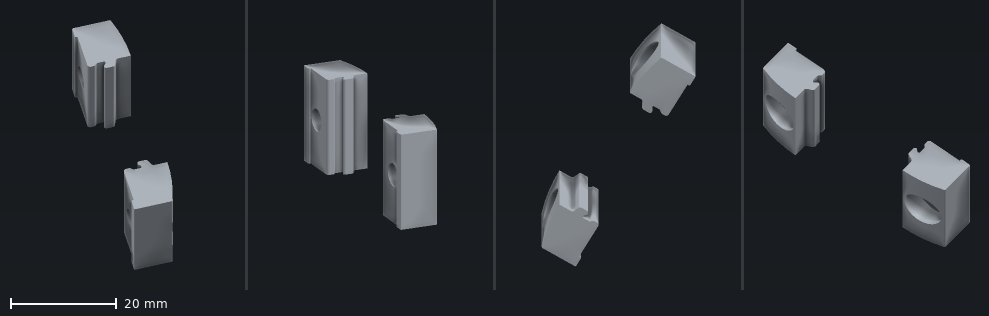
import cadquery as cq

overall_length = 44.4
block_depth = 9.0
block_height = 19.0

inner_wall_x = 9.15
outer_wall_y = 7.5
foot_width = 2.18
foot_height = 0.5
edge_radius = 0.18
step_radius = 0.15
foot_inner_radius = 0.2
crown_edge_radius = 0.25

hook_x = 10.75
hook_root_y = 6.1
hook_shoulder_y = 5.4
hook_root_radius = 0.65
hook_shoulder_radius = 0.55
hook_tip_y = 2.85
hook_tip_radius = 0.45
notch_radius = 0.3

bead_x = 9.7
bead_root_y = 2.35
bead_shoulder_y = 1.8
bead_root_radius = 0.45
bead_shoulder_radius = 0.5
bead_bottom_radius = 0.58

hole_x = 4.7
hole_diameter = 4.5
counterbore_diameter = 8.0
counterbore_depth = 4.0

crown_drop = block_depth - outer_wall_y
crown_radius = (inner_wall_x**2 + crown_drop**2) / (2 * crown_drop)
crown_mid_x = inner_wall_x / 2
crown_mid_y = block_depth - crown_radius + (crown_radius**2 - crown_mid_x**2) ** 0.5

notch_y = hook_tip_y + hook_x - inner_wall_x

ROUNDED_CORNERS = [
    (inner_wall_x, hook_root_y, hook_root_radius),
    (hook_x, hook_shoulder_y, hook_shoulder_radius),
    (hook_x, hook_tip_y, hook_tip_radius),
    (inner_wall_x, notch_y, notch_radius),
    (inner_wall_x, bead_root_y, bead_root_radius),
    (bead_x, bead_shoulder_y, bead_shoulder_radius),
    (bead_x, foot_height, bead_bottom_radius),
    (foot_width, foot_height, step_radius),
    (foot_width, 0, foot_inner_radius),
    (0, 0, edge_radius),
    (0, outer_wall_y, crown_edge_radius),
]


def block_body():
    """Extrude the outline along Z and round its upright edges."""
    outline = cq.Workplane("XY").moveTo(0, outer_wall_y)
    outline = outline.threePointArc((crown_mid_x, crown_mid_y), (inner_wall_x, block_depth))
    for x, y, _ in ROUNDED_CORNERS[:-1]:
        outline = outline.lineTo(x, y)
    body = outline.close().extrude(block_height)
    for x, y, radius in ROUNDED_CORNERS:
        corner = cq.NearestToPointSelector((x, y, block_height / 2))
        body = body.edges("|Z").edges(corner).fillet(radius)
    return body


def screw_hole():
    """Cutter along Y with its counterbore opening through the crown."""
    crown_plane = cq.Workplane("XZ", origin=(hole_x, block_depth, block_height / 2))
    bore = crown_plane.circle(hole_diameter / 2).extrude(block_depth)
    counterbore = crown_plane.circle(counterbore_diameter / 2).extrude(counterbore_depth)
    return bore.union(counterbore)


def clamp_block(mirrored):
    """One block with its hook toward the middle of the pair."""
    block = block_body().cut(screw_hole())
    block = block.translate((-overall_length / 2, 0, 0))
    if mirrored:
        block = block.mirror("YZ")
    return block


clamp_blocks = [clamp_block(mirrored).val() for mirrored in (False, True)]

result = cq.Compound.makeCompound(clamp_blocks)